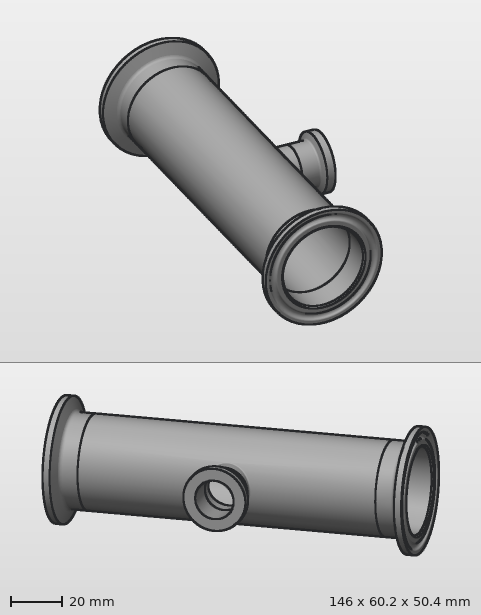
import cadquery as cq
import math

overall_length = 146.0
overall_width = 60.2
run_outer_radius = 38.1 / 2
run_bore_radius = 17.4

branch_outer_radius = 9.5
wall = run_outer_radius - run_bore_radius
branch_bore_radius = branch_outer_radius - wall
junction_fillet = 0.6

run_ferrule_length = 12.4
run_flange_radius = 50.4 / 2
run_rim_thickness = 2.9
run_neck_fillet = 1.5
mouth_radius = 18.1
mouth_depth = 0.7

groove_radius = 43.7 / 2
groove_half_width = 1.5
groove_depth = 1.2
groove_edge_fillet = 0.6

branch_ferrule_length = 12.8
branch_flange_radius = 25.3 / 2
branch_rim_thickness = 3.6
branch_neck_fillet = 0.7

match_tolerance = 0.01

flange_slope = math.radians(20)

run_seam_x = overall_length / 2 - run_ferrule_length
branch_face_y = overall_width - run_flange_radius
branch_seam_y = branch_face_y - branch_ferrule_length


def make_ferrule(length, outer_radius, bore_radius, flange_radius, rim_thickness, neck_fillet):
    """Flanged tube end along +X, with its face on the YZ plane at the origin."""
    neck_start = rim_thickness + (flange_radius - outer_radius) * math.tan(flange_slope)
    ferrule = (
        cq.Workplane("XY")
        .moveTo(0, bore_radius)
        .lineTo(0, flange_radius)
        .lineTo(rim_thickness, flange_radius)
        .lineTo(neck_start, outer_radius)
        .lineTo(length, outer_radius)
        .lineTo(length, bore_radius)
        .close()
        .revolve(360, (0, 0, 0), (1, 0, 0))
    )
    neck_corner = cq.selectors.BoxSelector(
        (neck_start - match_tolerance, -flange_radius, -flange_radius),
        (neck_start + match_tolerance, flange_radius, flange_radius),
    )
    return ferrule.edges(neck_corner).fillet(neck_fillet)


def make_gasket_groove():
    """Ring of round-bottomed section that cuts the groove into a ferrule face."""
    return (
        cq.Workplane("XY")
        .moveTo(0, groove_radius - groove_half_width)
        .threePointArc((groove_depth, groove_radius), (0, groove_radius + groove_half_width))
        .close()
        .revolve(360, (0, 0, 0), (1, 0, 0))
    )


def make_mouth():
    """Cone that bevels the bore where it opens in a ferrule face."""
    return cq.Workplane(cq.Solid.makeCone(
        mouth_radius, run_bore_radius, mouth_depth, cq.Vector(0, 0, 0), cq.Vector(1, 0, 0)
    ))


def is_groove_rim(edge):
    """True for a circle where the groove meets the ferrule face."""
    box = edge.BoundingBox()
    radius = box.zmax
    on_face = abs(box.xmin) + abs(box.xmax) < match_tolerance
    return on_face and abs(abs(radius - groove_radius) - groove_half_width) < match_tolerance


def make_run_ferrule():
    ferrule = make_ferrule(
        run_ferrule_length, run_outer_radius, run_bore_radius,
        run_flange_radius, run_rim_thickness, run_neck_fillet,
    )
    ferrule = ferrule.cut(make_gasket_groove()).cut(make_mouth())
    groove_rims = [edge for edge in ferrule.edges().vals() if is_groove_rim(edge)]
    return ferrule.newObject(groove_rims).fillet(groove_edge_fillet)


def make_branch_ferrule():
    ferrule = make_ferrule(
        branch_ferrule_length, branch_outer_radius, branch_bore_radius,
        branch_flange_radius, branch_rim_thickness, branch_neck_fillet,
    )
    return ferrule.rotate((0, 0, 0), (0, 0, 1), -90).translate((0, branch_face_y, 0))


def make_tee():
    """Run tube with the branch stub, blended outside and bored through."""
    def run_cylinder(radius):
        return cq.Workplane("YZ").circle(radius).extrude(run_seam_x, both=True)

    def branch_cylinder(radius):
        return cq.Workplane("XZ").circle(radius).extrude(-branch_seam_y)

    junction = cq.selectors.BoxSelector(
        (-branch_outer_radius, 0, -branch_outer_radius),
        (branch_outer_radius, run_outer_radius, branch_outer_radius),
    )
    tee = run_cylinder(run_outer_radius).union(branch_cylinder(branch_outer_radius))
    tee = tee.edges(junction).fillet(junction_fillet)
    return tee.cut(run_cylinder(run_bore_radius)).cut(branch_cylinder(branch_bore_radius))


tee = make_tee()
branch_ferrule = make_branch_ferrule()

run_ferrules = []
for turn in (0, 180):
    ferrule = make_run_ferrule().translate((-overall_length / 2, 0, 0))
    run_ferrules.append(ferrule.rotate((0, 0, 0), (0, 0, 1), turn).solids().val())

result = cq.Compound.makeCompound([tee.solids().val(), branch_ferrule.solids().val(), *run_ferrules])